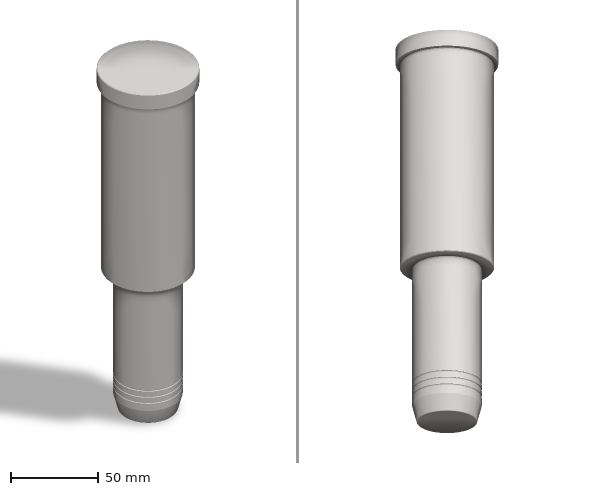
import cadquery as cq
import math

total_length = 231.0
head_height = 10.0
pin_length = 95.0
nose_height = 10.0

head_radius = 59.0 / 2
body_radius = 54.0 / 2
pin_radius = 40.0 / 2
nose_angle = 15.0

head_chamfer = 0.5
body_chamfer = 0.5
nose_tip_fillet = 0.5

relief_width = 1.0
relief_depth = 0.5

groove_count = 3
groove_radius = 0.5
groove_pitch = 4.2
first_groove_height = 15.2

tip_z = -total_length / 2
head_top_z = total_length / 2
head_bottom_z = head_top_z - head_height
body_bottom_z = tip_z + pin_length
nose_top_z = tip_z + nose_height
nose_tip_radius = pin_radius - nose_height * math.tan(math.radians(nose_angle))


def cylinder(radius, bottom_z, top_z):
    return cq.Workplane("XY", origin=(0, 0, bottom_z)).circle(radius).extrude(top_z - bottom_z)


def make_head():
    head = cylinder(head_radius, head_bottom_z, head_top_z)
    return head.faces(">Z").edges().chamfer(head_chamfer)


def make_body():
    body = cylinder(body_radius, body_bottom_z, head_bottom_z)
    return body.faces("<Z").edges().chamfer(body_chamfer)


def make_pin():
    """Cylindrical pin ending in a tapered nose with a rounded tip edge."""
    pin = cylinder(pin_radius, nose_top_z, body_bottom_z)
    nose = (
        cq.Workplane("XZ")
        .moveTo(0, tip_z)
        .lineTo(nose_tip_radius, tip_z)
        .lineTo(pin_radius, nose_top_z)
        .lineTo(0, nose_top_z)
        .close()
        .revolve(360, (0, 0), (0, 1))
    )
    return pin.union(nose.faces("<Z").edges().fillet(nose_tip_fillet))


def make_relief(radius, shoulder_z):
    """Undercut ring around a cylinder directly below its shoulder."""
    ring = cylinder(radius + relief_depth, shoulder_z - relief_width, shoulder_z)
    return ring.cut(cylinder(radius - relief_depth, shoulder_z - relief_width, shoulder_z))


def make_groove(center_z):
    """Half-round ring groove in the pin surface."""
    profile = cq.Workplane("XZ").center(pin_radius, center_z).circle(groove_radius)
    return profile.revolve(360, (-pin_radius, 0), (-pin_radius, 1))


result = make_head().union(make_body()).union(make_pin())
result = result.cut(make_relief(body_radius, head_bottom_z))
result = result.cut(make_relief(pin_radius, body_bottom_z))
for index in range(groove_count):
    result = result.cut(make_groove(tip_z + first_groove_height + index * groove_pitch))